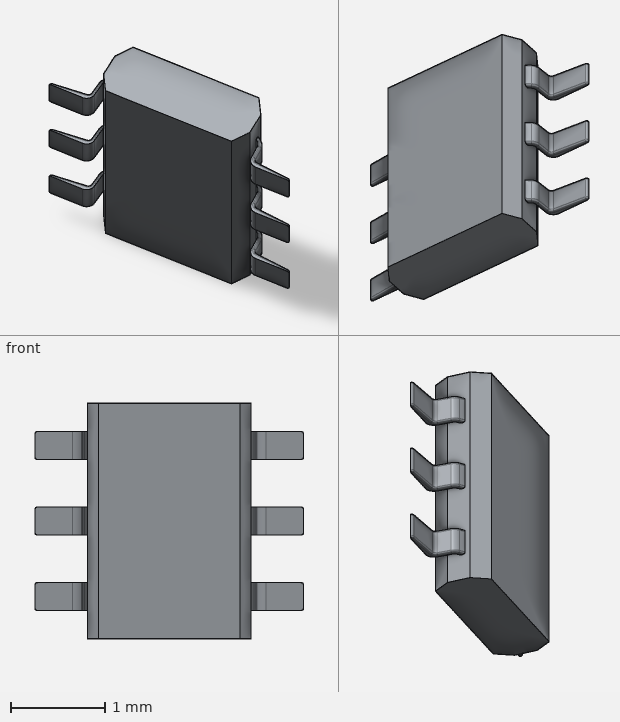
import cadquery as cq
import math

housing_width = 1.735
housing_depth = 0.65
housing_height = 2.5
bevel_width = 0.12
bevel_depth = 0.195

lead_span = 2.85
lead_width = 0.3
lead_pitch = 0.8
leads_per_side = 3
strip_thickness = 0.043
standoff = 0.01
tip_height = 0.03
foot_angle = 5.5
upright_tilt = 3.5
slope_angle = 38.0
exit_y = 0.075
upright_x = 0.965
upright_y = -0.085
heel_outer_radius = 0.097
heel_inner_radius = 0.04
shoulder_outer_radius = 0.11
shoulder_inner_radius = 0.063
edge_radius = 0.027


def make_housing():
    half_width = housing_width / 2
    half_depth = housing_depth / 2
    face_half_width = half_width - bevel_width
    side_half_depth = half_depth - bevel_depth
    outline = [
        (-face_half_width, -half_depth),
        (face_half_width, -half_depth),
        (half_width, -side_half_depth),
        (half_width, side_half_depth),
        (face_half_width, half_depth),
        (-face_half_width, half_depth),
        (-half_width, side_half_depth),
        (-half_width, -side_half_depth),
    ]
    return (
        cq.Workplane("XY")
        .workplane(offset=-housing_height / 2)
        .polyline(outline)
        .close()
        .extrude(housing_height)
    )


def crossing(point_a, angle_a, point_b, angle_b):
    """Point where two lines meet, each given by a point and a direction in degrees."""
    ax, ay = math.cos(math.radians(angle_a)), math.sin(math.radians(angle_a))
    bx, by = math.cos(math.radians(angle_b)), math.sin(math.radians(angle_b))
    dx, dy = point_b[0] - point_a[0], point_b[1] - point_a[1]
    along = (dx * by - dy * bx) / (ax * by - ay * bx)
    return (point_a[0] + along * ax, point_a[1] + along * ay)


def make_lead(z_center):
    """Left-hand lead running from its foot tip to the flat side of the housing."""
    foot_y = -housing_depth / 2 + standoff
    tip_x = -lead_span / 2
    side_x = -housing_width / 2
    upright_angle = 90 - upright_tilt

    tip_top = (tip_x, foot_y + tip_height)
    upright_outer = (-upright_x, upright_y)
    slope_top = (side_x, exit_y)
    upright_inner = (-upright_x + strip_thickness / math.cos(math.radians(upright_tilt)), upright_y)
    slope_bottom = (side_x, exit_y - strip_thickness / math.cos(math.radians(slope_angle)))
    tip_bottom = (tip_x, foot_y)

    heel_inner = crossing(tip_top, foot_angle, upright_outer, upright_angle)
    shoulder_outer = crossing(upright_outer, upright_angle, slope_top, slope_angle)
    shoulder_inner = crossing(upright_inner, upright_angle, slope_bottom, slope_angle)
    heel_outer = crossing(tip_bottom, 0, upright_inner, upright_angle)

    lead = (
        cq.Workplane("XY")
        .workplane(offset=z_center - lead_width / 2)
        .polyline(
            [tip_top, heel_inner, shoulder_outer, slope_top,
             slope_bottom, shoulder_inner, heel_outer, tip_bottom]
        )
        .close()
        .extrude(lead_width)
    )
    bends = [
        (heel_inner, heel_inner_radius),
        (shoulder_outer, shoulder_outer_radius),
        (shoulder_inner, shoulder_inner_radius),
        (heel_outer, heel_outer_radius),
    ]
    for corner, radius in bends:
        lead = lead.edges(cq.selectors.NearestToPointSelector((*corner, z_center))).fillet(radius)

    lead = lead.faces("<X").edges("|Y").fillet(edge_radius)
    rim_point = (
        (tip_x + heel_inner[0]) / 2,
        (tip_top[1] + heel_inner[1]) / 2,
        z_center + lead_width / 2,
    )
    return lead.edges(cq.selectors.NearestToPointSelector(rim_point)).fillet(edge_radius)


housing = make_housing()

leads = []
for row in range(leads_per_side):
    z_center = (row - (leads_per_side - 1) / 2) * lead_pitch
    left_lead = make_lead(z_center)
    leads.append(left_lead)
    leads.append(left_lead.mirror("YZ"))

result = cq.Compound.makeCompound([housing.val(), *[lead.val() for lead in leads]])